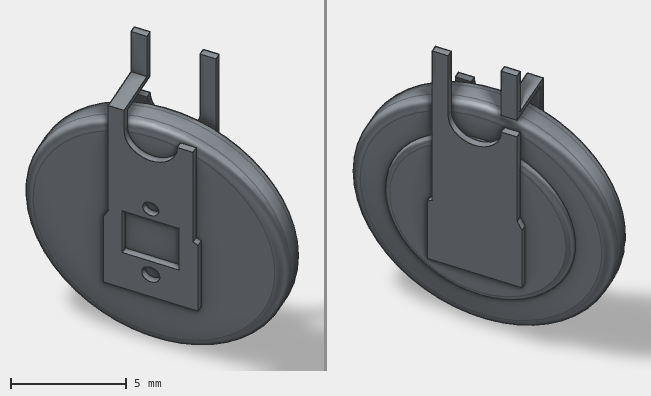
import cadquery as cq


overall_height = 15.73

cell_radius = 6.253
cell_thickness = 1.73
cell_edge_radius = 0.52
cap_radius = 4.5
cap_thickness = 0.31

tab_thickness = 0.33
body_half_width = 2.25
arm_outer_x = 2.01
notch_radius = 1.26
arm_width = arm_outer_x - notch_radius
arm_base_z = 5.91
shoulder_bottom_z = 0.53
left_shoulder_top_z = 0.98
right_shoulder_top_z = 0.68
front_tab_bottom_z = -3.3
back_tab_bottom_z = -2.82

left_pin_top_z = overall_height - cell_radius
right_pin_top_z = 9.4
bridge_top_z = 7.13
bridge_thickness = 0.24

window_width = 2.7
window_height = 2.44
window_center_z = -0.02
upper_hole_z = 1.82
upper_hole_radius = 0.38
lower_hole_z = -2.01
lower_hole_radius = 0.42

cell_front_y = tab_thickness
cell_back_y = cell_front_y + cell_thickness
back_tab_y = cell_back_y + cap_thickness
total_depth = back_tab_y + tab_thickness


def front_plane(y):
    """Workplane at depth y; negative extrusions run toward +Y."""
    return cq.Workplane("XZ", origin=(0, y, 0))


def make_can():
    can = front_plane(cell_front_y).circle(cell_radius).extrude(-cell_thickness)
    return can.edges().fillet(cell_edge_radius)


def make_cap():
    """Raised rear cap whose rim is a full quarter round, revolved about the cell axis."""
    flat_radius = cap_radius - cap_thickness
    return (
        cq.Workplane("XY")
        .moveTo(0, cell_back_y)
        .lineTo(cap_radius, cell_back_y)
        .radiusArc((flat_radius, back_tab_y), -cap_thickness)
        .lineTo(0, back_tab_y)
        .close()
        .revolve(360, (0, 0, 0), (0, 1, 0))
    )


def make_arm(x, y, top_z):
    """Straight strip continuing the tab upward, with its left edge at x."""
    height = top_z - arm_base_z
    return cq.Workplane("XY").box(arm_width, tab_thickness, height, centered=False).translate((x, y, arm_base_z))


def make_tab(y, bottom_z):
    """Flat shouldered tab with a semicircular notch in its top edge."""
    return (
        front_plane(y)
        .moveTo(-body_half_width, bottom_z)
        .lineTo(body_half_width, bottom_z)
        .lineTo(body_half_width, shoulder_bottom_z)
        .lineTo(arm_outer_x, right_shoulder_top_z)
        .lineTo(arm_outer_x, arm_base_z)
        .lineTo(notch_radius, arm_base_z)
        .threePointArc((0, arm_base_z - notch_radius), (-notch_radius, arm_base_z))
        .lineTo(-arm_outer_x, arm_base_z)
        .lineTo(-arm_outer_x, left_shoulder_top_z)
        .lineTo(-body_half_width, shoulder_bottom_z)
        .close()
        .extrude(-tab_thickness)
    )


def make_front_openings():
    window = front_plane(0).center(0, window_center_z).rect(window_width, window_height)
    openings = window.extrude(-tab_thickness)
    for z, radius in ((upper_hole_z, upper_hole_radius), (lower_hole_z, lower_hole_radius)):
        openings = openings.union(front_plane(0).center(0, z).circle(radius).extrude(-tab_thickness))
    return openings


def make_bent_pin():
    """Bridge over the cell from the front arm, then a pin rising in the back tab's plane."""
    bridge_bottom_z = bridge_top_z - bridge_thickness
    return (
        cq.Workplane("YZ", origin=(-arm_outer_x, 0, 0))
        .moveTo(0, bridge_bottom_z)
        .lineTo(total_depth, bridge_bottom_z)
        .lineTo(total_depth, left_pin_top_z)
        .lineTo(back_tab_y, left_pin_top_z)
        .lineTo(back_tab_y, bridge_top_z)
        .lineTo(0, bridge_top_z)
        .close()
        .extrude(arm_width)
    )


front_tab = make_tab(0, front_tab_bottom_z).cut(make_front_openings())
front_arm = make_arm(-arm_outer_x, 0, bridge_top_z)
back_tab = make_tab(back_tab_y, back_tab_bottom_z)
back_arm = make_arm(notch_radius, back_tab_y, right_pin_top_z)

result = make_can()
for piece in (make_cap(), front_tab, front_arm, make_bent_pin(), back_tab, back_arm):
    result = result.union(piece)